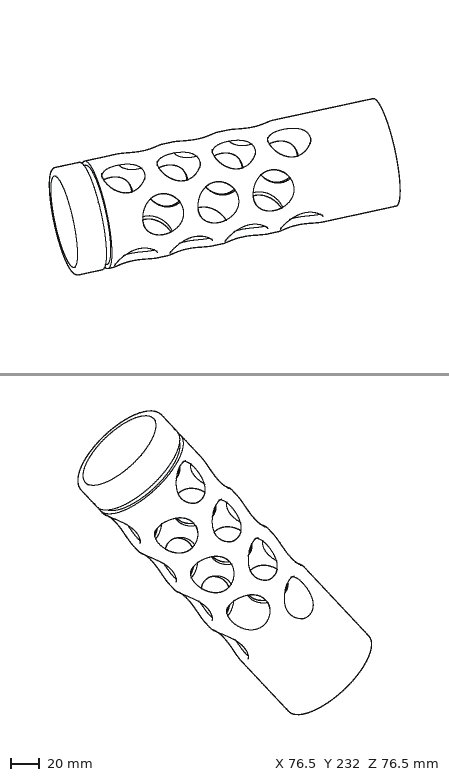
import cadquery as cq
import math

length = 232.0
outer_diameter = 76.5
bore_diameter = 65.0
end_fillet = 2.0

groove_offset = 19.3
groove_width = 4.0
groove_depth = 3.0

row_count = 6
long_row_holes = 4
hole_diameter = 30.2
first_hole_offset = 43.0
last_hole_offset = 162.9
hole_fillet = 2.5
rim_tolerance = 0.02

bore_rounded_row = 3
bore_rounded_index = 1

row_angle = 360 / row_count
hole_pitch = (last_hole_offset - first_hole_offset) / (long_row_holes - 1)
front_end = -length / 2


def cylinder_along_y(diameter, start, height):
    """Cylinder centred on the Y axis, growing from start toward +Y."""
    plane = cq.Plane(origin=(0, start, 0), xDir=(1, 0, 0), normal=(0, 1, 0))
    return cq.Workplane(plane).circle(diameter / 2).extrude(height)


def radial_hole(y, angle):
    """Cutter from the tube axis outward, turned by angle from +Z about Y."""
    cutter = cq.Workplane("XY").center(0, y).circle(hole_diameter / 2).extrude(outer_diameter)
    return cutter.rotate((0, 0, 0), (0, 1, 0), angle)


def hole_y(row, index):
    """Position of a hole along the tube; the short rows start half a pitch further along."""
    return front_end + first_hole_offset + (index + row % 2 / 2) * hole_pitch


body = cylinder_along_y(outer_diameter, front_end, length)
body = body.faces("<Y").edges().fillet(end_fillet)
body = body.cut(cylinder_along_y(bore_diameter, front_end, length))
for row in range(row_count):
    for index in range(long_row_holes - row % 2):
        body = body.cut(radial_hole(hole_y(row, index), row * row_angle))


def hole_rims(radius):
    """Edges where the radial holes meet the tube surface of the given radius."""
    rims = []
    for edge in body.edges().vals():
        middle = edge.positionAt(0.5)
        is_on_surface = abs(math.hypot(middle.x, middle.z) - radius) < rim_tolerance
        if is_on_surface and edge.geomType() not in ("CIRCLE", "LINE"):
            rims.append(edge)
    return rims


def belongs_to_hole(edge, row, index):
    """True if the edge is centred on the axis of one radial hole."""
    angle = math.radians(row * row_angle)
    center = edge.BoundingBox().center
    across = center.x * math.cos(angle) - center.z * math.sin(angle)
    outward = center.x * math.sin(angle) + center.z * math.cos(angle)
    along = center.y - hole_y(row, index)
    return outward > 0 and math.hypot(across, along) < hole_diameter / 2


outer_rims = hole_rims(outer_diameter / 2)
inner_rims = [
    edge
    for edge in hole_rims(bore_diameter / 2)
    if belongs_to_hole(edge, bore_rounded_row, bore_rounded_index)
]
body = body.newObject(outer_rims + inner_rims).fillet(hole_fillet)

groove_start = front_end + groove_offset
groove = cylinder_along_y(outer_diameter + 2 * groove_depth, groove_start, groove_width)
groove = groove.cut(cylinder_along_y(outer_diameter - 2 * groove_depth, groove_start, groove_width))

result = body.cut(groove)